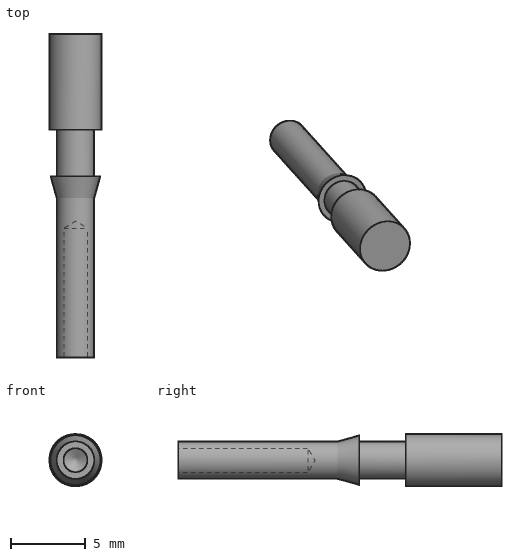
import cadquery as cq
import math

length = 21.6
barrel_diameter = 3.5
barrel_length = 6.42
stem_diameter = 2.5
collar_large_diameter = 3.33
collar_length = 1.47
collar_gap = 3.09

bore_diameter = 1.6
bore_depth = 8.65
drill_point_angle = 118.0

front_y = -length / 2
back_y = length / 2
barrel_y = back_y - barrel_length
collar_back_y = barrel_y - collar_gap
collar_front_y = collar_back_y - collar_length


def revolve_profile(points):
    """Revolve (radius, y) points about the Y axis."""
    return cq.Workplane("XY").polyline(points).close().revolve(360, (0, 0, 0), (0, 1, 0))


def make_pin():
    stem_radius = stem_diameter / 2
    barrel_radius = barrel_diameter / 2
    return revolve_profile([
        (0, front_y),
        (stem_radius, front_y),
        (stem_radius, collar_front_y),
        (collar_large_diameter / 2, collar_back_y),
        (stem_radius, collar_back_y),
        (stem_radius, barrel_y),
        (barrel_radius, barrel_y),
        (barrel_radius, back_y),
        (0, back_y),
    ])


def make_bore():
    bore_radius = bore_diameter / 2
    point_length = bore_radius / math.tan(math.radians(drill_point_angle / 2))
    bore_end_y = front_y + bore_depth
    return revolve_profile([
        (0, front_y),
        (bore_radius, front_y),
        (bore_radius, bore_end_y),
        (0, bore_end_y + point_length),
    ])


result = make_pin().cut(make_bore())